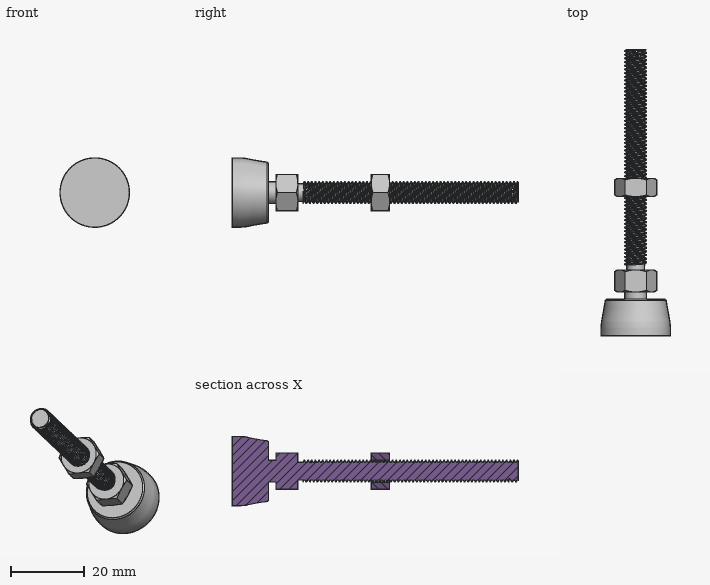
import cadquery as cq
import math

TOTAL_LENGTH = 77.9

FOOT_DIAMETER = 18.9
FOOT_HEIGHT = 10.0
FOOT_BAND_HEIGHT = 2.2
FOOT_CONE_START = 3.8
FOOT_CONE_ANGLE = 10.0
FOOT_CHAMFER = 0.4

THREAD_DIAMETER = 6.0
THREAD_CORE_DIAMETER = 4.9
THREAD_CREST_WIDTH = 0.125
THREAD_FLANK_ANGLE = 30.0
THREAD_PHASE = 130.0
THREAD_START = 19.3
THREAD_TURNS = 58.6
THREAD_PITCH = (TOTAL_LENGTH - THREAD_START) / THREAD_TURNS
THREAD_END_CHAMFER = 0.3
ROOT_OVERLAP = 0.1

HEX_SIDES = 6
HEX_ACROSS_FLATS = 10.0
HEX_ACROSS_CORNERS = HEX_ACROSS_FLATS / math.cos(math.pi / HEX_SIDES)
HEX_CHAMFER_ANGLE = 30.0
DRIVE_HEX_BOTTOM = 11.9
DRIVE_HEX_HEIGHT = 6.0
NUT_BOTTOM = 37.85
NUT_HEIGHT = 5.0


def cylinder(diameter, bottom, top):
    """Cylinder about the Y axis from height `bottom` to height `top`."""
    direction = cq.Vector(0, 1, 0)
    solid = cq.Solid.makeCylinder(diameter / 2, top - bottom, cq.Vector(0, bottom, 0), direction)
    return cq.Workplane(obj=solid)


def chamfered_hexagon(bottom, height):
    """Hexagonal prism with corners on the X axis and conical chamfers at both ends."""
    prism = (
        cq.Workplane("XZ", origin=(0, bottom, 0))
        .polygon(HEX_SIDES, HEX_ACROSS_CORNERS)
        .extrude(-height)
    )
    face_radius = HEX_ACROSS_FLATS / 2
    corner_radius = HEX_ACROSS_CORNERS / 2
    drop = (corner_radius - face_radius) * math.tan(math.radians(HEX_CHAMFER_ANGLE))
    top = bottom + height
    envelope = (
        cq.Workplane("XY")
        .moveTo(0, bottom)
        .lineTo(face_radius, bottom)
        .lineTo(corner_radius, bottom + drop)
        .lineTo(corner_radius, top - drop)
        .lineTo(face_radius, top)
        .lineTo(0, top)
        .close()
        .revolve(360, (0, 0, 0), (0, 1, 0))
    )
    return prism.intersect(envelope)


def thread_ridge(bottom, top):
    """Helical ridge about the Y axis, cut off flat at both ends and chamfered at the top."""
    crest_radius = THREAD_DIAMETER / 2
    root_radius = THREAD_CORE_DIAMETER / 2 - ROOT_OVERLAP
    half_crest = THREAD_CREST_WIDTH / 2
    flank_rise = (crest_radius - root_radius) * math.tan(math.radians(THREAD_FLANK_ANGLE))
    half_root = half_crest + flank_rise

    length = top - bottom + 2 * THREAD_PITCH
    corners = [
        (root_radius, -half_root),
        (crest_radius, -half_crest),
        (crest_radius, half_crest),
        (root_radius, half_root),
    ]
    helices = [
        cq.Wire.makeHelix(THREAD_PITCH, length, radius).translate(cq.Vector(0, 0, offset))
        for radius, offset in corners
    ]
    next_helices = helices[1:] + helices[:1]
    sides = [cq.Face.makeRuledSurface(a, b) for a, b in zip(helices, next_helices)]
    section = [cq.Vector(radius, 0, offset) for radius, offset in corners]
    start_face = cq.Face.makeFromWires(cq.Wire.makePolygon(section, close=True))
    origin = cq.Vector(0, 0, 0)
    x_axis = cq.Vector(1, 0, 0)
    z_axis = cq.Vector(0, 0, 1)
    total_turn = 360 * length / THREAD_PITCH
    end_face = start_face.rotate(origin, z_axis, total_turn).translate(cq.Vector(0, 0, length))
    ridge = cq.Solid.makeSolid(cq.Shell.makeShell(sides + [start_face, end_face]))

    ridge = (
        ridge.rotate(origin, z_axis, THREAD_PHASE)
        .rotate(origin, x_axis, -90)
        .translate(cq.Vector(0, bottom - THREAD_PITCH, 0))
    )

    clear_diameter = THREAD_DIAMETER + 2 * THREAD_END_CHAMFER
    trimming_cylinder = cylinder(clear_diameter, bottom, top).faces(">Y").chamfer(2 * THREAD_END_CHAMFER)
    return cq.Workplane(obj=ridge).intersect(trimming_cylinder)


def make_foot():
    """Round foot: straight band, rounded shoulder, cone and a chamfered top edge."""
    base_radius = FOOT_DIAMETER / 2
    cone_angle = math.radians(FOOT_CONE_ANGLE)
    shoulder_height = FOOT_CONE_START - FOOT_BAND_HEIGHT
    cone_bottom_radius = base_radius - shoulder_height * math.tan(cone_angle / 2)
    cone_top = FOOT_HEIGHT - FOOT_CHAMFER
    cone_top_radius = cone_bottom_radius - (cone_top - FOOT_CONE_START) * math.tan(cone_angle)
    return (
        cq.Workplane("XY")
        .lineTo(base_radius, 0)
        .lineTo(base_radius, FOOT_BAND_HEIGHT)
        .tangentArcPoint((cone_bottom_radius, FOOT_CONE_START), relative=False)
        .lineTo(cone_top_radius, cone_top)
        .lineTo(cone_top_radius - FOOT_CHAMFER, FOOT_HEIGHT)
        .lineTo(0, FOOT_HEIGHT)
        .close()
        .revolve(360, (0, 0, 0), (0, 1, 0))
    )


def make_stud():
    """Neck, drive hexagon and threaded shank standing on the foot."""
    hex_top = DRIVE_HEX_BOTTOM + DRIVE_HEX_HEIGHT
    neck = cylinder(THREAD_DIAMETER, FOOT_HEIGHT, DRIVE_HEX_BOTTOM)
    core = cylinder(THREAD_CORE_DIAMETER, hex_top, TOTAL_LENGTH)
    threaded = core.union(thread_ridge(THREAD_START, TOTAL_LENGTH))
    return threaded.union(chamfered_hexagon(DRIVE_HEX_BOTTOM, DRIVE_HEX_HEIGHT)).union(neck)


def make_nut():
    """Lock nut with a plain bore that touches the thread crests."""
    bore = cylinder(THREAD_DIAMETER, NUT_BOTTOM, NUT_BOTTOM + NUT_HEIGHT)
    return chamfered_hexagon(NUT_BOTTOM, NUT_HEIGHT).cut(bore)


footed_stud = make_stud().union(make_foot())
nut = make_nut()
result = cq.Compound.makeCompound([footed_stud.val(), nut.val()])